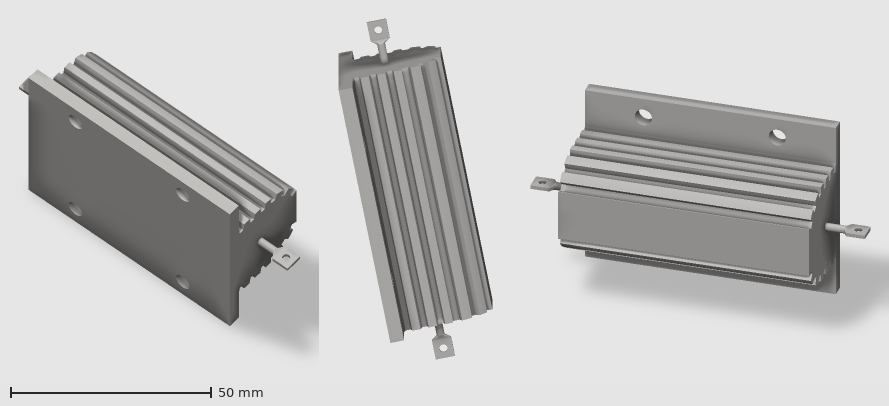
import cadquery as cq
import math

housing_length = 65.6
plate_height = 47.5
plate_back_y = -11.8
plate_thickness = 3.5
plate_front_y = plate_back_y + plate_thickness
nose_y = 14.2

wall_z = 13.6
arc_radius = 12.7
arc_center_y = 2.9
arc_center_z = wall_z - arc_radius

groove_depth = 1.9
flat_mouth = 2.1
flat_floor = 1.3
flat_pitch = 4.2
flat_count = 3
radial_mouth = 2.4
radial_floor = 1.75
radial_first_angle = 11.3
radial_pitch_angle = 22.9
radial_count = 3

hole_diameter = 4.5
hole_spacing_x = 35.0
hole_spacing_z = 37.0

bore_diameter = 16.1
key_width = 0.7
key_height = 0.5
key_count = 4

overall_length = 87.5
lead_diameter = 2.0
exposed_lead_length = 5.0
neck_x = housing_length / 2 + exposed_lead_length
neck_length = 1.05
lug_width = 4.9
lug_thickness = 1.0
lug_hole_diameter = 2.0


def point_on_arc(angle):
    """Point (y, z) on the upper arc, at an angle in degrees from +Z toward the nose."""
    return (
        arc_center_y + arc_radius * math.sin(math.radians(angle)),
        arc_center_z + arc_radius * math.cos(math.radians(angle)),
    )


def make_blank():
    """Housing before its grooves, bore and holes: plate, flat walls, arcs and flat nose."""
    nose_angle = math.degrees(math.asin((nose_y - arc_center_y) / arc_radius))
    middle_y, middle_z = point_on_arc(nose_angle / 2)
    end_y, end_z = point_on_arc(nose_angle)
    return (
        cq.Workplane("YZ")
        .moveTo(plate_back_y, plate_height / 2)
        .lineTo(plate_front_y, plate_height / 2)
        .lineTo(plate_front_y, wall_z)
        .lineTo(arc_center_y, wall_z)
        .threePointArc((middle_y, middle_z), (end_y, end_z))
        .lineTo(end_y, -end_z)
        .threePointArc((middle_y, -middle_z), (arc_center_y, -wall_z))
        .lineTo(plate_front_y, -wall_z)
        .lineTo(plate_front_y, -plate_height / 2)
        .lineTo(plate_back_y, -plate_height / 2)
        .close()
        .extrude(housing_length / 2, both=True)
    )


def make_flat_groove(middle_y):
    """Tapered groove in the flat top wall."""
    floor_z = wall_z - groove_depth
    return (
        cq.Workplane("YZ")
        .polyline([
            (middle_y - flat_mouth / 2, wall_z),
            (middle_y - flat_floor / 2, floor_z),
            (middle_y + flat_floor / 2, floor_z),
            (middle_y + flat_mouth / 2, wall_z),
        ])
        .close()
        .extrude(housing_length / 2, both=True)
    )


def make_radial_groove(angle):
    """Tapered groove in the upper arc, with a floor concentric with the arc."""
    floor_radius = arc_radius - groove_depth
    taper = (radial_mouth - radial_floor) / (2 * groove_depth)
    outer_half_width = radial_mouth / 2 + groove_depth * taper
    inner_half_width = radial_floor / 2 - groove_depth * taper
    wedge = (
        cq.Workplane("YZ")
        .polyline([
            (-outer_half_width, arc_radius + groove_depth),
            (-inner_half_width, floor_radius - groove_depth),
            (inner_half_width, floor_radius - groove_depth),
            (outer_half_width, arc_radius + groove_depth),
        ])
        .close()
        .extrude(housing_length / 2, both=True)
    )
    floor = cq.Workplane("YZ").circle(floor_radius).extrude(housing_length / 2, both=True)
    groove = wedge.cut(floor).rotate((0, 0, 0), (1, 0, 0), -angle)
    return groove.translate((0, arc_center_y, arc_center_z))


def make_keyed_rod():
    """Round rod as long as the housing, with small pointed keys spaced around its rim."""
    radius = bore_diameter / 2
    rod = cq.Workplane("YZ").circle(radius).extrude(housing_length / 2, both=True)
    key = (
        cq.Workplane("YZ")
        .polyline([
            (0, 0),
            (key_width / 2, radius),
            (0, radius + key_height),
            (-key_width / 2, radius),
        ])
        .close()
        .extrude(housing_length / 2, both=True)
    )
    for i in range(key_count):
        rod = rod.union(key.rotate((0, 0, 0), (1, 0, 0), i * 360 / key_count))
    return rod


def make_housing():
    housing = make_blank()
    grooves = [
        make_flat_groove(plate_front_y + flat_mouth / 2 + i * flat_pitch) for i in range(flat_count)
    ]
    grooves += [
        make_radial_groove(radial_first_angle + i * radial_pitch_angle) for i in range(radial_count)
    ]
    for groove in grooves:
        housing = housing.cut(groove).cut(groove.mirror("XY"))

    mounting_holes = (
        cq.Workplane("XZ", origin=(0, plate_front_y, 0))
        .rarray(hole_spacing_x, hole_spacing_z, 2, 2)
        .circle(hole_diameter / 2)
        .extrude(plate_thickness)
    )
    return housing.cut(make_keyed_rod()).cut(mounting_holes)


def make_lead_rod():
    """Round middle stretch of the lead, between the two necks."""
    return cq.Workplane("YZ").circle(lead_diameter / 2).extrude(neck_x, both=True)


def make_core():
    return make_keyed_rod().cut(make_lead_rod())


def make_neck():
    """Loft from the round lead to the lug; its four edges stay at the faces of the lug."""
    radius = lead_diameter / 2
    half_thickness = lug_thickness / 2
    corner_y = math.sqrt(radius**2 - half_thickness**2)
    round_end = (
        cq.Workplane("YZ")
        .moveTo(-corner_y, -half_thickness)
        .threePointArc((0, -radius), (corner_y, -half_thickness))
        .threePointArc((radius, 0), (corner_y, half_thickness))
        .threePointArc((0, radius), (-corner_y, half_thickness))
        .threePointArc((-radius, 0), (-corner_y, -half_thickness))
        .wire()
        .val()
    )
    half_width = lug_width / 2
    flat_end = (
        cq.Workplane("YZ", origin=(neck_length, 0, 0))
        .polyline([
            (-half_width, -half_thickness),
            (half_width, -half_thickness),
            (half_width, half_thickness),
            (-half_width, half_thickness),
        ])
        .close()
        .val()
    )
    return cq.Workplane(cq.Solid.makeLoft([round_end, flat_end], True))


def make_lug_end():
    """Neck and flat drilled lug at the +X end of the lead."""
    lug_x = neck_x + neck_length
    lug_length = overall_length / 2 - lug_x
    neck = make_neck().translate((neck_x, 0, 0))
    lug = cq.Workplane("YZ", origin=(lug_x, 0, 0)).rect(lug_width, lug_thickness).extrude(lug_length)
    lug_hole = (
        cq.Workplane("XY", origin=(lug_x + lug_length / 2, 0, 0))
        .circle(lug_hole_diameter / 2)
        .extrude(lug_thickness, both=True)
    )
    return neck.union(lug).cut(lug_hole)


def make_lead():
    lead = make_lead_rod()
    for angle in (0, 180):
        lead = lead.union(make_lug_end().rotate((0, 0, 0), (0, 0, 1), angle))
    return lead


housing = make_housing()
core = make_core()
lead = make_lead()

result = cq.Compound.makeCompound([part.solids().val() for part in (housing, core, lead)])